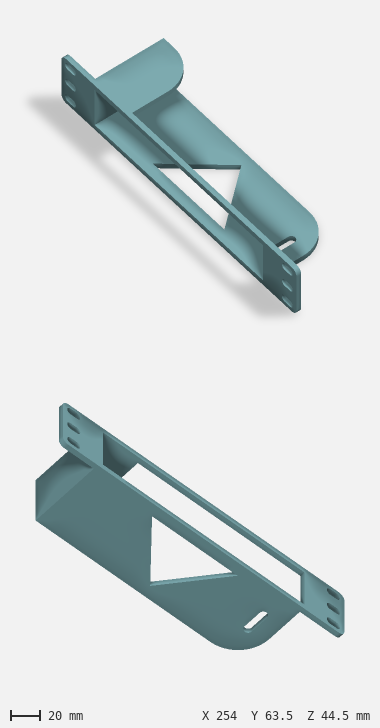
import cadquery as cq

panel_length = 254.0
panel_height = 44.5
panel_thickness = 4.0
panel_corner_radius = 5.0

total_depth = 63.5
wall = 4.5
tray_left = 31.5
tray_right = 217.5
roof_right = 71.5
rear_corner_radius = 28.5

window_left = tray_left + wall
window_length = panel_length - 2 * window_left
window_height = panel_height - 2 * wall

mount_slot_length = 11.7
mount_slot_width = 6.0
mount_slot_inset = 10.0
mount_slot_pitch = 16.0

triangle_base = 77.2
triangle_height = 45.7
triangle_center_x = 126.7
triangle_front_y = 8.6

tie_slot_length = 22.0
tie_slot_width = 6.5
tie_slot_x = 201.0
tie_slot_y = 30.5


def front_panel():
    """Rounded plate with a rectangular window and six mounting slots."""
    center = (panel_length / 2, 0, panel_height / 2)
    face = cq.Workplane("XZ", origin=center)
    panel = face.rect(panel_length, panel_height).extrude(-panel_thickness)
    panel = panel.edges("|Y").fillet(panel_corner_radius)
    window = face.rect(window_length, window_height).extrude(-panel_thickness)
    slot_spacing = panel_length - 2 * mount_slot_inset
    slots = (
        face.rarray(slot_spacing, mount_slot_pitch, 2, 3)
        .slot2D(mount_slot_length, mount_slot_width)
        .extrude(-panel_thickness)
    )
    return panel.cut(window).cut(slots)


def horizontal_plate(right_x, bottom_z):
    """Plate from the tray's left side to right_x, rounded at its rear right corner."""
    length = right_x - tray_left
    depth = total_depth - panel_thickness
    plate = cq.Workplane("XY").box(length, depth, wall, centered=False)
    plate = plate.edges("|Z and >X and >Y").fillet(rear_corner_radius)
    return plate.translate((tray_left, panel_thickness, bottom_z))


def left_wall():
    """Upright wall joining the floor and the roof."""
    depth = total_depth - panel_thickness
    block = cq.Workplane("XY").box(wall, depth, panel_height, centered=False)
    return block.translate((tray_left, panel_thickness, 0))


def floor_openings():
    """Triangular opening and tie slot through the floor."""
    triangle = (
        cq.Workplane("XY", origin=(triangle_center_x, triangle_front_y, 0))
        .moveTo(-triangle_base / 2, 0)
        .lineTo(triangle_base / 2, 0)
        .lineTo(0, triangle_height)
        .close()
        .extrude(wall)
    )
    tie_slot = (
        cq.Workplane("XY", origin=(tie_slot_x, tie_slot_y, 0))
        .slot2D(tie_slot_length, tie_slot_width, 90)
        .extrude(wall)
    )
    return triangle.union(tie_slot)


tray_floor = horizontal_plate(tray_right, 0).cut(floor_openings())
tray_roof = horizontal_plate(roof_right, panel_height - wall)
result = front_panel().union(tray_floor).union(tray_roof).union(left_wall())